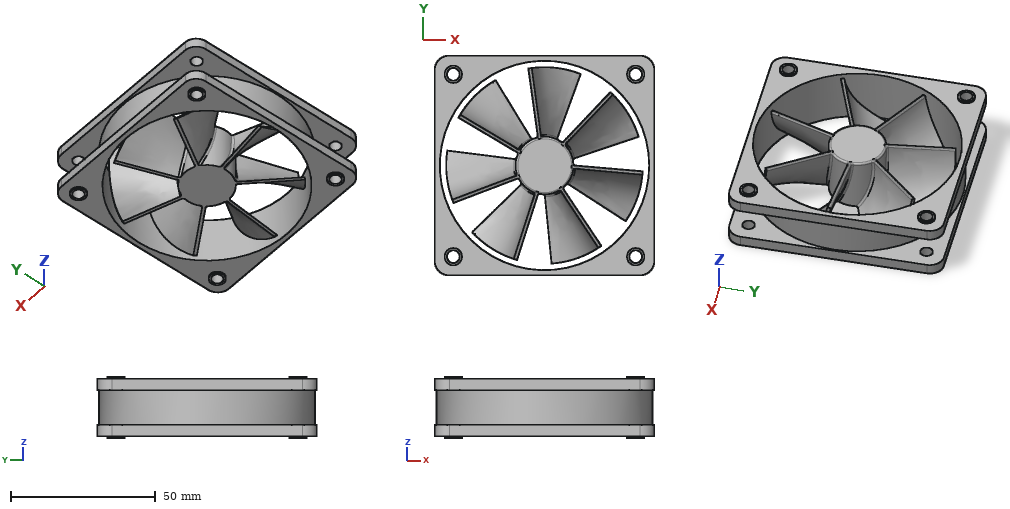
import cadquery as cq
import math

frame_side = 76.0
frame_height = 20.0
corner_radius = 5.0
flange_thickness = 4.0
duct_outer_diameter = 74.8
duct_inner_diameter = 72.3

hole_spacing = 63.0
hole_diameter = 4.3
rim_diameter = 6.0
rim_height = 0.57

hub_diameter = 20.0
hub_edge_radius = 0.7
seam_angle = 180.0

blade_count = 7
first_blade_angle = 84.0
blade_tip_diameter = 68.0
blade_thickness = 1.3
blade_edge_radius = 0.4
blade_root_radius = 0.75
touch_tolerance = 0.01
axis_half_width = 1.0
half_width_slope = 0.25
tip_overlength = 0.75
arc_drop = 14.8

top_z = frame_height / 2
bottom_z = -top_z


def make_flange(base_z):
    """Square plate with rounded corners, standing on base_z."""
    return (
        cq.Workplane("XY", origin=(0, 0, base_z))
        .rect(frame_side, frame_side)
        .extrude(flange_thickness)
        .edges("|Z")
        .fillet(corner_radius)
    )


def mount_cylinders(diameter, height):
    """Four upright cylinders on the mounting pattern, centred on mid height."""
    return (
        cq.Workplane("XY")
        .rect(hole_spacing, hole_spacing, forConstruction=True)
        .vertices()
        .cylinder(height, diameter / 2)
    )


def make_frame():
    """Two flanges joined by a round duct, with rimmed holes in the corners."""
    duct = cq.Workplane("XY").cylinder(frame_height, duct_outer_diameter / 2)
    flanges = make_flange(bottom_z).union(make_flange(top_z - flange_thickness))

    total_height = frame_height + 2 * rim_height
    between_flanges = cq.Workplane("XY").box(
        frame_side, frame_side, frame_height - 2 * flange_thickness
    )
    rims = mount_cylinders(rim_diameter, total_height).cut(between_flanges)

    bore = cq.Workplane("XY").cylinder(frame_height, duct_inner_diameter / 2)
    holes = mount_cylinders(hole_diameter, total_height)
    return duct.union(flanges).union(rims).cut(bore).cut(holes)


def blade_section(radius):
    """Closed curved section of a blade on the upright plane at this radius, facing +X."""
    half_width = axis_half_width + half_width_slope * radius
    middle_z = top_z - arc_drop
    outline = (
        cq.Workplane("YZ", origin=(radius, 0, 0))
        .moveTo(half_width, top_z)
        .threePointArc((0, middle_z - blade_thickness), (blade_thickness - half_width, bottom_z))
        .lineTo(-half_width, bottom_z)
        .threePointArc((0, middle_z), (half_width - blade_thickness, top_z))
        .close()
        .wire()
        .val()
    )
    face = cq.Face.makeFromWires(outline)
    top_corners = [corner for corner in face.Vertices() if corner.Z > 0]
    return face.fillet2D(blade_edge_radius, top_corners).outerWire()


def make_blade():
    """Blade along +X, widening in a straight line from inside the hub to the round tip."""
    start_radius = hub_diameter / 4
    end_radius = blade_tip_diameter / 2 + tip_overlength
    sections = [blade_section(start_radius), blade_section(end_radius)]
    blade = cq.Workplane(cq.Solid.makeLoft(sections, True))
    tip_cylinder = cq.Workplane("XY").cylinder(frame_height, blade_tip_diameter / 2)
    return blade.intersect(tip_cylinder)


def make_hub():
    """Solid cylinder with a rounded top edge, its side seam turned from +X."""
    hub = cq.Workplane("XY").cylinder(frame_height, hub_diameter / 2)
    rounded_hub = hub.faces(">Z").edges().fillet(hub_edge_radius)
    return rounded_hub.rotate((0, 0, 0), (0, 0, 1), seam_angle)


def is_root_edge(edge):
    """True for the free curves along which a blade meets the hub."""
    middle = edge.positionAt(0.5)
    on_hub = math.hypot(middle.x, middle.y) < hub_diameter / 2 + touch_tolerance
    return on_hub and edge.geomType() == "BSPLINE"


def make_fan():
    """Hub with equally spaced blades that are filleted where they meet it."""
    fan = make_hub()
    blade = make_blade()
    for index in range(blade_count):
        angle = first_blade_angle + index * 360 / blade_count
        fan = fan.union(blade.rotate((0, 0, 0), (0, 0, 1), angle))
    return fan.edges().filter(is_root_edge).fillet(blade_root_radius)


frame = make_frame()
fan = make_fan()
result = cq.Compound.makeCompound([*frame.solids().vals(), *fan.solids().vals()])